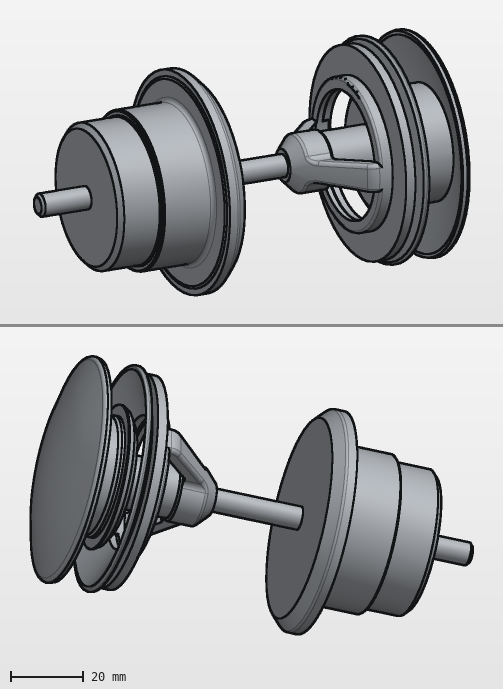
import cadquery as cq
import math

LENGTH = 122.9
TOLERANCE = 0.0151

RIM_RADIUS = 63.5 / 2
DOME_EDGE_RADIUS = 30.6
DOME_HEIGHT = 6.0
RIM_ROUND = 1.2
RIM_ROUND_END = 7.1
RIM_BOTTOM_RADIUS = 31.5
CAP_BOTTOM = 8.4
SHELL_THICKNESS = 2.2
NECK_RADIUS = 16.6
NECK_END = 15.2
COLLAR_RADIUS = 17.1
COLLAR_START = 16.2
SEAL_TOP = 17.1
SEAL_BOTTOM = 19.0
SEAL_RADIUS = 20.3
SEAL_BOTTOM_RADIUS = 19.3
SEAL_LIP = 0.4
PISTON_RADIUS = 16.7
PISTON_BOTTOM = 20.8

DISH_TOP = 18.5
DISH_RIM_BOTTOM = 20.2
DISH_RIM_ROUND = 0.6
DISH_INNER_RADIUS = 30.5
FUNNEL_END = 24.3
DISH_CONE_RADIUS = 31.0
DISH_BASE_RADIUS = 25.3
WASHER_TOP = 22.2
WASHER_BOTTOM = 25.1
WASHER_RADIUS = 30.1
RING_RADIUS = 21.8
RING_BOTTOM = 28.8
RING_ROUND = 0.7
BORE_RADIUS = 18.3
BORE_TOP = 27.0
BORE_BEVEL = 0.5

CORE_RADIUS = 7.6
HUB_RADIUS = 8.4
HUB_TOP = 36.3
HUB_CHAMFER = 0.6
HUB_END = 47.9
HUB_END_RADIUS = 4.7
ARM_THICKNESS = 5.3
ARM_BASE = HUB_TOP + HUB_CHAMFER
ARM_END_HALF_WIDTH = 4.3
ARM_CENTER_HALF_WIDTH = 2.5
ARM_REACH = 22.7
ARM_HUB_BLEND = 2.2
ARM_CORNER_ROUND = 4.4
ARM_EDGE_ROUND = 1.2

ROD_RADIUS = 6.5 / 2
ROD_CHAMFER = 0.9

PLUG_TOP = 73.4
PLUG_TOP_RADIUS = 28.1
FLANGE_RADIUS = 31.3
FLANGE_BEVEL_END = 76.5
FLANGE_ROUND = 1.1
FLANGE_BOTTOM = 79.5
STEP_RADIUS = 29.5
STEP_HEIGHT = 0.4
STEP_INSET = 0.7
PLATE_BOTTOM = FLANGE_BOTTOM + STEP_HEIGHT
BODY_RADIUS = 22.5
BODY_FILLET = 1.2
BODY_END = 95.4
BODY_CHAMFER = 0.4
NOSE_RADIUS = 20.6
NOSE_END = 108.0
NOSE_CHAMFER = 1.5


def at(radius, station):
    """Profile point at a radius and a distance back from the crown."""
    return (radius, -station)


def profile(points):
    """Closed outline with straight sides through (radius, station) points."""
    return cq.Workplane("XY").polyline([at(*point) for point in points]).close()


def turned(outline):
    """Body made by turning an outline about the axis."""
    return outline.revolve(360, (0, 0, 0), (0, 1, 0))


def round_edge(body, radius, station, rounding):
    """Fillet the circular edge of a turned body at a given radius and station."""
    def is_wanted(edge):
        if edge.geomType() != "CIRCLE":
            return False
        center = edge.arcCenter()
        return abs(edge.radius() - radius) < TOLERANCE and abs(center.y + station) < TOLERANCE

    wanted = [edge for edge in body.edges().vals() if is_wanted(edge)]
    return body.newObject(wanted).fillet(rounding)


def cap():
    """Thin spherical dome with a rounded rim, hollow underneath."""
    sphere_radius = (DOME_EDGE_RADIUS**2 + DOME_HEIGHT**2) / (2 * DOME_HEIGHT)
    inner_radius = sphere_radius - SHELL_THICKNESS

    def dome_point(ball_radius, radius):
        return at(radius, sphere_radius - math.sqrt(ball_radius**2 - radius**2))

    crown_side = dome_point(sphere_radius, DOME_EDGE_RADIUS / 2)
    shell_edge = math.sqrt(inner_radius**2 - (sphere_radius - CAP_BOTTOM) ** 2)
    outline = (
        cq.Workplane("XY")
        .moveTo(*at(0, 0))
        .threePointArc(crown_side, at(DOME_EDGE_RADIUS, DOME_HEIGHT))
        .radiusArc(at(RIM_RADIUS, RIM_ROUND_END), RIM_ROUND)
        .lineTo(*at(RIM_BOTTOM_RADIUS, CAP_BOTTOM))
        .lineTo(*at(shell_edge, CAP_BOTTOM))
        .threePointArc(dome_point(inner_radius, shell_edge / 2), at(0, SHELL_THICKNESS))
        .close()
    )
    return turned(outline)


def plunger():
    """Neck, collar, seal and core, from the dome down to the hub."""
    return turned(profile([
        (0, SHELL_THICKNESS / 2),
        (NECK_RADIUS, SHELL_THICKNESS),
        (NECK_RADIUS, NECK_END),
        (COLLAR_RADIUS, COLLAR_START),
        (COLLAR_RADIUS, SEAL_TOP),
        (SEAL_RADIUS, SEAL_TOP),
        (SEAL_RADIUS, SEAL_TOP + SEAL_LIP),
        (SEAL_BOTTOM_RADIUS, SEAL_BOTTOM),
        (PISTON_RADIUS, PISTON_BOTTOM),
        (CORE_RADIUS, PISTON_BOTTOM),
        (CORE_RADIUS, HUB_TOP),
        (HUB_RADIUS - HUB_CHAMFER, HUB_TOP),
        (HUB_RADIUS, ARM_BASE),
        (0, ARM_BASE),
    ]))


def seat():
    """Open funnel dish, washer and bored ring."""
    body = turned(profile([
        (BORE_RADIUS, BORE_TOP),
        (BORE_RADIUS + BORE_BEVEL, BORE_TOP - BORE_BEVEL),
        (BORE_RADIUS + BORE_BEVEL, FUNNEL_END),
        (DISH_INNER_RADIUS, DISH_TOP),
        (RIM_RADIUS, DISH_TOP),
        (RIM_RADIUS, DISH_RIM_BOTTOM),
        (DISH_CONE_RADIUS, DISH_RIM_BOTTOM),
        (DISH_BASE_RADIUS, WASHER_TOP),
        (WASHER_RADIUS, WASHER_TOP),
        (WASHER_RADIUS, WASHER_BOTTOM),
        (RING_RADIUS, WASHER_BOTTOM),
        (RING_RADIUS, RING_BOTTOM),
        (BORE_RADIUS, RING_BOTTOM),
    ]))
    body = round_edge(body, RIM_RADIUS, DISH_TOP, DISH_RIM_ROUND)
    body = round_edge(body, RIM_RADIUS, DISH_RIM_BOTTOM, DISH_RIM_ROUND)
    return round_edge(body, RING_RADIUS, RING_BOTTOM, RING_ROUND)


def arm_prism():
    """Hub cylinder with a tapered bar to each side, blended in plan, long enough to be trimmed."""
    depth = HUB_END - WASHER_BOTTOM
    section = cq.Workplane("XZ", origin=(0, -WASHER_BOTTOM, 0))
    hub = section.circle(HUB_RADIUS).extrude(depth)
    half_plan = [(0, ARM_CENTER_HALF_WIDTH), (ARM_REACH, ARM_END_HALF_WIDTH)]
    right = half_plan + [(x, -z) for x, z in reversed(half_plan)]
    left = [(-x, -z) for x, z in right]
    bars = section.polyline(right + left[1:-1]).close().extrude(depth)
    inside = cq.selectors.BoxSelector(
        (-HUB_RADIUS, -HUB_END, -HUB_RADIUS), (HUB_RADIUS, 0, HUB_RADIUS)
    )
    prism = hub.union(bars)
    return prism.edges("|Y").edges(inside).fillet(ARM_HUB_BLEND)


def arm_envelope():
    """Turned body whose conical outside and inside bound the arms."""
    cone_sum = HUB_END + HUB_END_RADIUS
    inner_sum = cone_sum - ARM_THICKNESS
    corner = cone_sum - RING_RADIUS
    round_reach = ARM_CORNER_ROUND * math.tan(math.radians(45 / 2))
    slope_reach = round_reach * math.sqrt(0.5)
    outline = (
        cq.Workplane("XY")
        .moveTo(*at(BORE_RADIUS, WASHER_BOTTOM))
        .lineTo(*at(RING_RADIUS, WASHER_BOTTOM))
        .lineTo(*at(RING_RADIUS, corner - round_reach))
        .radiusArc(at(RING_RADIUS - slope_reach, corner + slope_reach), ARM_CORNER_ROUND)
        .lineTo(*at(HUB_END_RADIUS, HUB_END))
        .lineTo(*at(0, HUB_END))
        .lineTo(*at(0, ARM_BASE))
        .lineTo(*at(inner_sum - ARM_BASE, ARM_BASE))
        .lineTo(*at(BORE_RADIUS, inner_sum - BORE_RADIUS))
        .close()
    )
    return turned(outline)


def borders_outside(edge):
    """True for an edge that runs along one side of the arms' outer conical surface."""
    ends = (edge.startPoint(), edge.endPoint())
    least_sum = HUB_END + HUB_END_RADIUS - ARM_THICKNESS / 2
    on_outside = all(math.hypot(p.x, p.z) - p.y > least_sum for p in ends)
    on_one_side = ends[0].z * ends[1].z > TOLERANCE
    return on_outside and on_one_side


def arms_and_hub():
    """Two slanting arms from the ring to the conical hub, with rounded outer edges."""
    body = arm_envelope().intersect(arm_prism())
    rounded = [edge for edge in body.edges().vals() if borders_outside(edge)]
    return body.newObject(rounded).fillet(ARM_EDGE_ROUND)


def rod():
    """Rod from inside the hub to its bevelled tip."""
    return turned(profile([
        (0, ARM_BASE),
        (ROD_RADIUS, ARM_BASE),
        (ROD_RADIUS, LENGTH - ROD_CHAMFER),
        (ROD_RADIUS - ROD_CHAMFER, LENGTH),
        (0, LENGTH),
    ]))


def lower_plug():
    """Bevelled flange with a stepped cylindrical body."""
    body = turned(profile([
        (0, PLUG_TOP),
        (PLUG_TOP_RADIUS, PLUG_TOP),
        (FLANGE_RADIUS, FLANGE_BEVEL_END),
        (FLANGE_RADIUS, FLANGE_BOTTOM),
        (STEP_RADIUS, FLANGE_BOTTOM),
        (STEP_RADIUS - STEP_INSET, PLATE_BOTTOM),
        (BODY_RADIUS, PLATE_BOTTOM),
        (BODY_RADIUS, BODY_END - BODY_CHAMFER),
        (BODY_RADIUS - BODY_CHAMFER, BODY_END),
        (NOSE_RADIUS + BODY_CHAMFER, BODY_END),
        (NOSE_RADIUS, BODY_END + BODY_CHAMFER),
        (NOSE_RADIUS, NOSE_END - NOSE_CHAMFER),
        (NOSE_RADIUS - NOSE_CHAMFER, NOSE_END),
        (0, NOSE_END),
    ]))
    body = round_edge(body, FLANGE_RADIUS, FLANGE_BEVEL_END, FLANGE_ROUND)
    return round_edge(body, BODY_RADIUS, PLATE_BOTTOM, BODY_FILLET)


result = arms_and_hub()
for part in (cap(), plunger(), seat(), rod(), lower_plug()):
    result = result.union(part)